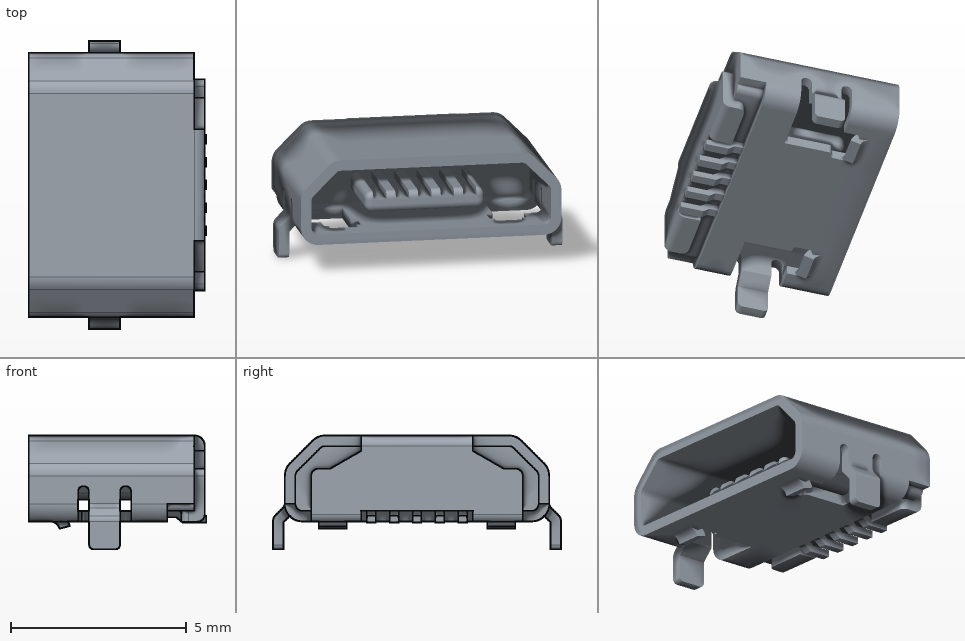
import cadquery as cq
import math


SHEET = 0.3
SHELL_LENGTH = 4.71
SHELL_HALF_WIDTH = 3.76
SHELL_HEIGHT = 2.45
SHELL_CHAMFER = 0.94
SHELL_RADIUS = 0.5
FLOOR_LENGTH = 3.945

LEG_START = 1.71
LEG_WIDTH = 0.885
LEG_HALF_SPAN = 4.1
LEG_DEPTH = 0.795
LEG_BEND_Z = 0.44
LEG_UPPER_RADIUS = 0.18
LEG_LOWER_RADIUS = 0.22
LEG_TIP_RADIUS = 0.14
SLOT_WIDTH = 0.31
SLOT_TOP = 1.01

CLIP_START = 0.61
CLIP_CENTER = 2.395
CLIP_WIDTH = 0.8
CLIP_BEND_RADIUS = 0.28
CLIP_BEND_ANGLE = 75.0
CLIP_RELIEF_START = 0.93
CLIP_WINDOW_WIDTH = 1.075
CLIP_WINDOW_END = 1.51
LEG_WINDOW_INNER = 2.05
WINDOW_RADIUS = 0.08

FLAP_HALF_WIDTH = 3.01
FLAP_SHOULDER_Z = 1.5
FLAP_SHOULDER_Y = 2.48
FLAP_SHOULDER_RADIUS = 0.2
FLAP_NECK_HALF_WIDTH = 1.59
FLAP_NECK_Z = 2.01
FLAP_TOP_RADIUS = 0.295
FLAP_BOTTOM_RADIUS = 0.205
FLAP_FOOT_START = 4.35
FLAP_FOOT_RADIUS = 0.2

BLOCK_START = 3.44
TONGUE_START = 1.0
TONGUE_HALF_WIDTH = 1.71
TONGUE_BOTTOM = 0.615
TONGUE_TOP = 1.205
TONGUE_RADIUS = 0.205
GROOVE_FLOOR = 0.98
GROOVE_WIDTH = 0.385

CONTACT_COUNT = 5
CONTACT_SPAN = 2.6
CONTACT_PITCH = CONTACT_SPAN / (CONTACT_COUNT - 1)
CONTACT_WIDTH = 0.255
CONTACT_THICKNESS = 0.2
CONTACT_UNDERSIDE = 0.115
CONTACT_FOOT_Z = -0.03
CONTACT_BEND_START = 4.2
CONTACT_BEND_END = 4.39
CONTACT_BEND_SHIFT = 0.08
CONTACT_END = 5.05

REAR = SHELL_LENGTH + SHEET
SIDES = (-1, 1)
OVERSHOOT = 0.08
BEND_OFFSET = SHEET * math.tan(math.radians(22.5))


def box(x, y, z):
    """Box given by its (low, high) ranges."""
    size = [high - low for low, high in (x, y, z)]
    return cq.Workplane("XY").box(*size, centered=False).translate((x[0], y[0], z[0]))


def mirrored_range(side, inner, outer):
    """Y range from inner to outer on the given side."""
    return tuple(sorted((side * inner, side * outer)))


def tube_profile(inset, start, length):
    """Prism with the shell's cross-section, moved inward by inset."""
    half_width = SHELL_HALF_WIDTH - inset
    bottom = inset
    top = SHELL_HEIGHT - inset
    chamfer = SHELL_CHAMFER - inset * (2 - math.sqrt(2))
    points = [
        (-half_width, bottom),
        (half_width, bottom),
        (half_width, top - chamfer),
        (half_width - chamfer, top),
        (chamfer - half_width, top),
        (-half_width, top - chamfer),
    ]
    prism = cq.Workplane("YZ").polyline(points).close().extrude(length)
    return prism.edges("|X").fillet(SHELL_RADIUS - inset).translate((start, 0, 0))


def leg(side):
    """Leg that continues the side wall, steps outward at 45 degrees and hangs down."""
    wall = SHELL_HALF_WIDTH
    lower_bend_z = LEG_BEND_Z - (LEG_HALF_SPAN - wall)
    top = SHELL_RADIUS + OVERSHOOT
    points = [
        (wall, top),
        (wall, LEG_BEND_Z),
        (LEG_HALF_SPAN, lower_bend_z),
        (LEG_HALF_SPAN, -LEG_DEPTH),
        (LEG_HALF_SPAN - SHEET, -LEG_DEPTH),
        (LEG_HALF_SPAN - SHEET, lower_bend_z - BEND_OFFSET),
        (wall - SHEET, LEG_BEND_Z - BEND_OFFSET),
        (wall - SHEET, top),
    ]
    body = cq.Workplane("YZ").polyline([(side * y, z) for y, z in points]).close().extrude(LEG_WIDTH)

    def bend_edge(y, z):
        return cq.selectors.NearestToPointSelector((LEG_WIDTH / 2, side * y, z))

    body = body.edges(bend_edge(wall, LEG_BEND_Z)).fillet(LEG_UPPER_RADIUS)
    body = body.edges(bend_edge(LEG_HALF_SPAN, lower_bend_z)).fillet(LEG_LOWER_RADIUS)
    body = body.faces("<Z").edges("|Y").fillet(LEG_TIP_RADIUS)
    return body.translate((LEG_START, 0, 0))


def leg_slots(side):
    """Two round-topped slots in the side wall, one on each side of a leg."""
    across = mirrored_range(side, SHELL_HALF_WIDTH - SHEET - OVERSHOOT, SHELL_HALF_WIDTH + OVERSHOOT)
    slots = cq.Workplane()
    for start in (LEG_START - SLOT_WIDTH, LEG_START + LEG_WIDTH):
        straight = box((start, start + SLOT_WIDTH), across, (0, SLOT_TOP - SLOT_WIDTH / 2))
        rounded = (
            cq.Workplane("XZ", origin=(start + SLOT_WIDTH / 2, across[1], SLOT_TOP - SLOT_WIDTH / 2))
            .circle(SLOT_WIDTH / 2)
            .extrude(across[1] - across[0])
        )
        slots = slots.add(straight.union(rounded))
    return slots.combine()


def floor_window(side):
    """Hole left in the floor by a clip, running on into the hole left by the leg beside it."""
    height = (-OVERSHOOT, SHELL_RADIUS)
    relief_inner = CLIP_CENTER - CLIP_WINDOW_WIDTH / 2
    around_clip = box(
        (CLIP_START, CLIP_RELIEF_START + WINDOW_RADIUS),
        mirrored_range(side, CLIP_CENTER - CLIP_WIDTH / 2, CLIP_CENTER + CLIP_WIDTH / 2),
        height,
    )
    relief = box(
        (CLIP_RELIEF_START, CLIP_WINDOW_END),
        mirrored_range(side, relief_inner, CLIP_CENTER + CLIP_WINDOW_WIDTH / 2),
        height,
    ).edges("|Z and <X").fillet(WINDOW_RADIUS)
    beside_leg = box(
        (LEG_START - SLOT_WIDTH, LEG_START + LEG_WIDTH + SLOT_WIDTH),
        mirrored_range(side, LEG_WINDOW_INNER, SHELL_HALF_WIDTH + OVERSHOOT),
        height,
    )
    window = around_clip.union(relief).union(beside_leg)
    for y in (relief_inner, LEG_WINDOW_INNER):
        corner = cq.selectors.NearestToPointSelector((CLIP_WINDOW_END, side * y, sum(height) / 2))
        window = window.edges(corner).fillet(WINDOW_RADIUS)
    return window


def clip(side):
    """Strip of the floor bent downward along an arc."""
    profile = cq.Workplane("YZ").center(side * CLIP_CENTER, SHEET / 2).rect(CLIP_WIDTH, SHEET)
    axis_z = -CLIP_BEND_RADIUS - SHEET / 2
    body = profile.revolve(CLIP_BEND_ANGLE, (-0.08, axis_z, 0), (0.08, axis_z, 0))
    return body.translate((CLIP_START, 0, 0))


def rear_flap():
    """Flap folded down from the roof over the rear, with its lower end folded under as two feet."""
    half_outline = [
        (FLAP_HALF_WIDTH, 0),
        (FLAP_HALF_WIDTH, FLAP_SHOULDER_Z),
        (FLAP_SHOULDER_Y, FLAP_SHOULDER_Z),
        (FLAP_NECK_HALF_WIDTH, FLAP_NECK_Z),
        (FLAP_NECK_HALF_WIDTH, SHELL_HEIGHT),
    ]
    outline = half_outline + [(-y, z) for y, z in reversed(half_outline)]
    plate = cq.Workplane("YZ").polyline(outline).close().extrude(SHEET)
    for side in SIDES:
        shoulder = cq.selectors.NearestToPointSelector((SHEET / 2, side * FLAP_HALF_WIDTH, FLAP_SHOULDER_Z))
        plate = plate.edges(shoulder).fillet(FLAP_SHOULDER_RADIUS)
    plate = plate.translate((SHELL_LENGTH, 0, 0))
    feet = box((FLAP_FOOT_START, REAR), (-FLAP_HALF_WIDTH, FLAP_HALF_WIDTH), (0, SHEET))
    feet = feet.edges("|Z and <X").fillet(FLAP_FOOT_RADIUS)
    flap = plate.union(feet)
    flap = flap.edges(">X and >Z").fillet(FLAP_TOP_RADIUS)
    flap = flap.edges(">X and <Z").fillet(FLAP_BOTTOM_RADIUS)
    contact_notch = box(
        (FLAP_FOOT_START - OVERSHOOT, REAR + OVERSHOOT),
        (-FLAP_NECK_HALF_WIDTH, FLAP_NECK_HALF_WIDTH),
        (-OVERSHOOT, SHEET),
    )
    return flap.cut(contact_notch)


def make_shell():
    shell = tube_profile(0, 0, SHELL_LENGTH).cut(tube_profile(SHEET, 0, SHELL_LENGTH))
    beyond = SHELL_HALF_WIDTH + OVERSHOOT
    shell = shell.cut(box((FLOOR_LENGTH, REAR), (-beyond, beyond), (-OVERSHOOT, SHELL_RADIUS)))
    for side in SIDES:
        shell = shell.cut(leg_slots(side)).cut(floor_window(side))
        shell = shell.union(leg(side)).union(clip(side))
    return shell.union(rear_flap())


def contact_positions():
    """Y of each contact's center."""
    return [index * CONTACT_PITCH - CONTACT_SPAN / 2 for index in range(CONTACT_COUNT)]


def make_tongue():
    """Rounded bar with one open groove above each contact."""
    tongue = box(
        (TONGUE_START, BLOCK_START + OVERSHOOT),
        (-TONGUE_HALF_WIDTH, TONGUE_HALF_WIDTH),
        (TONGUE_BOTTOM, TONGUE_TOP),
    )
    tongue = tongue.edges("|X or <X").fillet(TONGUE_RADIUS)
    for y in contact_positions():
        groove_y = (y - GROOVE_WIDTH / 2, y + GROOVE_WIDTH / 2)
        tongue = tongue.cut(box((TONGUE_START, BLOCK_START), groove_y, (GROOVE_FLOOR, TONGUE_TOP)))
    return tongue


def contact_tail(y):
    """Contact end that steps down from the insulator to a soldering foot."""
    upper = (CONTACT_UNDERSIDE, CONTACT_UNDERSIDE + CONTACT_THICKNESS)
    foot = (CONTACT_FOOT_Z, CONTACT_FOOT_Z + CONTACT_THICKNESS)
    points = [
        (FLOOR_LENGTH, upper[0]),
        (CONTACT_BEND_START, upper[0]),
        (CONTACT_BEND_END, foot[0]),
        (CONTACT_END, foot[0]),
        (CONTACT_END, foot[1]),
        (CONTACT_BEND_END + CONTACT_BEND_SHIFT, foot[1]),
        (CONTACT_BEND_START + CONTACT_BEND_SHIFT, upper[1]),
        (FLOOR_LENGTH, upper[1]),
    ]
    tail = cq.Workplane("XZ").polyline(points).close().extrude(CONTACT_WIDTH / 2, both=True)
    return tail.translate((0, y, 0))


def make_insulator():
    insulator = tube_profile(SHEET, BLOCK_START, SHELL_LENGTH - BLOCK_START).union(make_tongue())
    for y in contact_positions():
        insulator = insulator.union(contact_tail(y))
    return insulator


shell = make_shell()
insulator = make_insulator()

result = cq.Compound.makeCompound([shell.solids().val(), insulator.solids().val()])